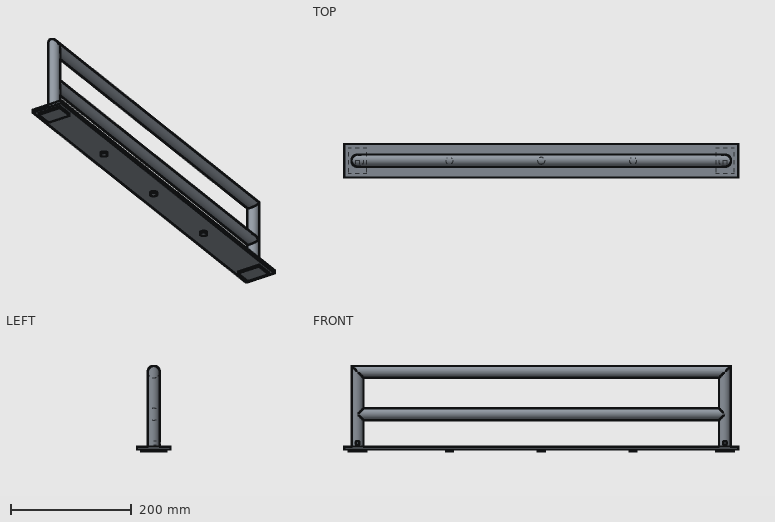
import cadquery as cq

plate_length = 653.5
plate_width = 56.0
plate_thickness = 5.0
overall_height = 142.5

foot_height = 3.0
pad_length = 30.0
pad_width = 42.0
foot_diameter = 12.0
foot_spacing = 152.0

bar_diameter = 20.0
bar_radius = bar_diameter / 2
post_inset = 22.0
rail_drop = 80.5

screw_diameter = 6.5
screw_height = 6.0

plate_top = foot_height + plate_thickness
post_x = plate_length / 2 - post_inset
top_bar_z = overall_height - bar_radius
rail_z = overall_height - rail_drop
screw_z = plate_top + screw_height


def make_plate():
    """Flat base plate raised on its feet."""
    return cq.Workplane("XY").box(
        plate_length, plate_width, plate_thickness, centered=(True, True, False)
    ).translate((0, 0, foot_height))


def make_feet():
    """Rectangular pads under the posts and round feet between them."""
    pads = (
        cq.Workplane("XY")
        .pushPoints([(-post_x, 0), (post_x, 0)])
        .rect(pad_length, pad_width)
        .extrude(foot_height)
    )
    feet = (
        cq.Workplane("XY")
        .pushPoints([(side * foot_spacing, 0) for side in (-1, 0, 1)])
        .circle(foot_diameter / 2)
        .extrude(foot_height)
    )
    return pads.union(feet)


def make_frame():
    """Two posts joined by a top bar with mitred corners."""
    path = (
        cq.Workplane("XZ")
        .moveTo(-post_x, plate_top)
        .lineTo(-post_x, top_bar_z)
        .lineTo(post_x, top_bar_z)
        .lineTo(post_x, plate_top)
    )
    return (
        cq.Workplane("XY", origin=(-post_x, 0, plate_top))
        .circle(bar_radius)
        .sweep(path, transition="right")
    )


def make_rail():
    """Lower rail running between the post axes."""
    return (
        cq.Workplane("YZ", origin=(-post_x, 0, rail_z))
        .circle(bar_radius)
        .extrude(2 * post_x)
    )


def make_screw_holes():
    """Blind holes from the front of each post to its axis."""
    return (
        cq.Workplane("XZ")
        .pushPoints([(-post_x, screw_z), (post_x, screw_z)])
        .circle(screw_diameter / 2)
        .extrude(bar_diameter)
    )


result = (
    make_plate()
    .union(make_feet())
    .union(make_frame())
    .union(make_rail())
    .cut(make_screw_holes())
)